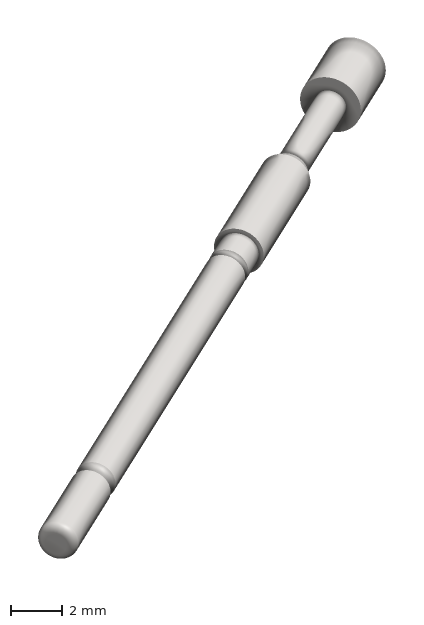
import cadquery as cq

total_length = 36.0

head_radius = 1.25
head_length = 3.0

plunger_radius = 0.65

collar_radius = 1.025
collar_start = 8.0
collar_end = 14.0
collar_taper_length = 0.4

barrel_radius = 0.825
tail_fillet = 0.37

front_groove_station = 15.45
front_groove_width = 0.4
rear_groove_station = 31.5
rear_groove_width = 0.6
groove_depth = 0.12

head_face_y = total_length / 2


def cylinder(radius, start, end):
    """Solid cylinder on the Y axis between two stations."""
    plane = cq.Workplane("XZ", origin=(0, head_face_y - start, 0))
    return plane.circle(radius).extrude(end - start)


def make_collar():
    """Press ring whose front edge tapers down to the barrel radius."""
    collar = cylinder(collar_radius, collar_start, collar_end)
    front_y = head_face_y - collar_start
    taper_corner = (
        cq.Workplane("XY")
        .moveTo(barrel_radius, front_y)
        .lineTo(collar_radius, front_y)
        .lineTo(collar_radius, front_y - collar_taper_length)
        .close()
        .revolve(360, (0, 0, 0), (0, 1, 0))
    )
    return collar.cut(taper_corner)


def make_barrel():
    """Long cylindrical body with a rounded tail."""
    barrel = cylinder(barrel_radius, collar_start, total_length)
    return barrel.faces("<Y").edges().fillet(tail_fillet)


def groove_cutter(station, width):
    """Ring with a circular-segment section that cuts a shallow round groove into the barrel."""
    middle_y = head_face_y - station
    return (
        cq.Workplane("XY")
        .moveTo(barrel_radius, middle_y - width / 2)
        .threePointArc(
            (barrel_radius - groove_depth, middle_y),
            (barrel_radius, middle_y + width / 2),
        )
        .close()
        .revolve(360, (0, 0, 0), (0, 1, 0))
    )


head = cylinder(head_radius, 0, head_length)
plunger = cylinder(plunger_radius, head_length, collar_start)

result = head.union(plunger).union(make_collar()).union(make_barrel())

for station, width in (
    (front_groove_station, front_groove_width),
    (rear_groove_station, rear_groove_width),
):
    result = result.cut(groove_cutter(station, width))